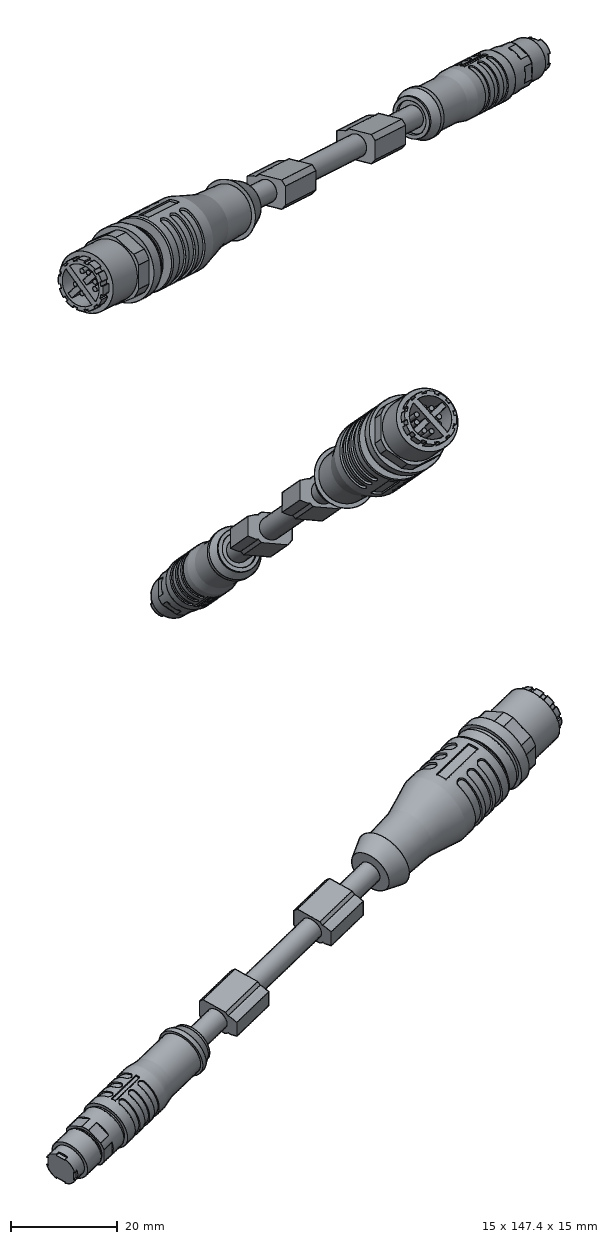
import cadquery as cq
import math

TOTAL_LENGTH = 147.4
HALF_LENGTH = TOTAL_LENGTH / 2
CUT_MARGIN = 1.5
CABLE_OVERLAP = 1.5

CABLE_DIA = 4.5
CLIP_STARTS = (48.2, 77.2)
CLIP_LENGTH = 9.9
CLIP_HALF_HEIGHT = 3.0
CLIP_SIDE_HALF_HEIGHT = 1.9
CLIP_LEFT = -4.5
CLIP_RIGHT = 4.3
CLIP_TOP_LEFT = -1.9
CLIP_TOP_RIGHT = 3.4
CLIP_STEP = 0.6

SMALL_END = 40.4
SMALL_END_BORE_DIA = 6.8
SMALL_END_BORE_DEPTH = 0.7
NOSE_DIA = 7.0
NOSE_LENGTH = 2.8
COLLAR_DIA = 8.4
COLLAR_END = 7.1
COLLAR_GROOVE_DIA = 8.0
NUT_START = 7.5
NUT_END = 10.0
SMALL_BODY_DIA = 9.5
SMALL_REAR_DIA = 9.3
SMALL_SLEEVE_DIA = 10.3
SLEEVE_GROOVE_DIA = 8.8
SLEEVE_GROOVE_START = 13.3
SLEEVE_START = 13.9
SLEEVE_TAPER_START = 26.0
SLEEVE_TAPER_END = 28.7
SMALL_RIM_START = 37.0
SMALL_RIM_END = 38.0
SMALL_TAPER_END = 40.0
SMALL_NUT_FLATS = 8.8
NOSE_KEY_WIDTH = 2.0
NOSE_KEY_LENGTH = 0.7
NOSE_KEY_DEPTH = 0.5

LARGE_START = 95.2
LARGE_DIA = 15.0
TAIL_DIA = 8.8
TAIL_LIP = 99.3
TAIL_LIP_DIA = 12.1
BOOT_DIA = 10.3
BOOT_BEND = 107.3
BOOT_BEND_DIA = 11.0
GRIP_START = 115.0
GRIP_END = 128.4
GRIP_CHAMFER = 0.5
GRIP_END_DIA = 14.7
NECK_DIA = 9.1
NECK_END = 129.4
RING_NOSE_DIA = 12.4
RING_SHOULDER = 131.0
RING_SHOULDER_DIA = 14.2
RING_GROOVE_DIA = 13.5
RING_START = 131.9
RING_END = 134.3
LARGE_NUT_DIA = 13.7
LARGE_NUT_FLATS = 12.8
LARGE_NUT_END = 137.7
SHELL_DIA = 12.2
SHELL_END = 145.5
TIP_DIA = 10.3
TIP_NOTCHES = 12
TIP_NOTCH_WIDTH = 0.9
TIP_NOTCH_DEPTH = 0.5

SLOTS_PER_SIDE = 3
LARGE_SLOT_FIRST = 118.8
LARGE_SLOT_PITCH = 3.1
LARGE_SLOT_WIDTH = 2.0
LARGE_SLOT_INNER_X = 2.7
LARGE_SLOT_DEPTH = 0.5
SMALL_SLOT_FIRST = 17.0
SMALL_SLOT_PITCH = 3.0
SMALL_SLOT_WIDTH = 1.5
SMALL_SLOT_INNER_X = 0.9
SMALL_SLOT_DEPTH = 0.3

LARGE_PANEL_WIDTH = 2.2
LARGE_PANEL_START = 117.0
LARGE_PANEL_END = 126.9
LARGE_PANEL_DEPTH = 0.5
SMALL_PANEL_WIDTH = 0.9
SMALL_PANEL_START = 16.2
SMALL_PANEL_END = 23.7
SMALL_PANEL_DEPTH = 0.3

SOCKET_DIA = 8.4
SOCKET_DEPTH = 8.8
SHIELD_THICKNESS = 1.2
SHIELD_SPAN = 8.8
SHIELD_SETBACKS = {45: 0.7, -45: 0.0}
PIN_DIA = 1.0
PIN_SETBACK = 1.5
PIN_HALF_SPACING = 0.7
PIN_RADIUS = 2.2


def y_at(station):
    return HALF_LENGTH - station


def bar_along_y(section, start, end):
    """Extrude a section builder's XZ outline between two stations."""
    plane = cq.Workplane("XZ", origin=(0, y_at(start), 0))
    return section(plane).extrude(end - start)


def cylinder(dia, start, end):
    return bar_along_y(lambda plane: plane.circle(dia / 2), start, end)


def revolve_profile(stations):
    """Revolve (station, diameter) pairs about the Y axis."""
    outline = [(dia / 2, y_at(station)) for station, dia in stations]
    outline.insert(0, (0, y_at(stations[0][0])))
    outline.append((0, y_at(stations[-1][0])))
    return cq.Workplane("XY").polyline(outline).close().revolve(360, (0, 0, 0), (0, 1, 0))


def hex_flats(dia, across_flats, start, end):
    """Material outside a hexagon whose flats face +X and -X."""
    corner_dia = across_flats / math.cos(math.pi / 6)
    blank = cylinder(dia + CUT_MARGIN, start, end)
    hexagon = bar_along_y(
        lambda plane: plane.transformed(rotate=(0, 0, 30)).polygon(6, corner_dia),
        start, end,
    )
    return blank.cut(hexagon)


def grip_slots(dia, depth, first, pitch, width, inner_x):
    """Round-ended slots that wrap round both sides of a cylinder."""
    last = first + (SLOTS_PER_SIDE - 1) * pitch
    skin = cylinder(dia + CUT_MARGIN, first - width, last + width).cut(
        cylinder(dia - 2 * depth, first - width, last + width)
    )
    slot_length = dia
    centers = [
        (side * (inner_x + slot_length / 2), y_at(first + i * pitch))
        for side in (-1, 1)
        for i in range(SLOTS_PER_SIDE)
    ]
    cutters = cq.Workplane("XY").pushPoints(centers).slot2D(slot_length, width).extrude(dia, both=True)
    return cutters.intersect(skin)


def grip_panels(dia, depth, width, start, end):
    """Flat-bottomed rectangular recesses on the upper and lower faces of a cylinder."""
    height = dia - 2 * depth
    blank = bar_along_y(lambda plane: plane.rect(width, 2 * dia), start, end)
    return blank.cut(bar_along_y(lambda plane: plane.rect(width, height), start, end))


def small_plug():
    body = revolve_profile([
        (0, NOSE_DIA),
        (NOSE_LENGTH, NOSE_DIA),
        (NOSE_LENGTH, COLLAR_DIA),
        (COLLAR_END, COLLAR_DIA),
        (COLLAR_END, COLLAR_GROOVE_DIA),
        (NUT_START, COLLAR_GROOVE_DIA),
        (NUT_START, SMALL_BODY_DIA),
        (SLEEVE_GROOVE_START, SMALL_BODY_DIA),
        (SLEEVE_GROOVE_START, SLEEVE_GROOVE_DIA),
        (SLEEVE_START, SLEEVE_GROOVE_DIA),
        (SLEEVE_START, SMALL_SLEEVE_DIA),
        (SLEEVE_TAPER_START, SMALL_SLEEVE_DIA),
        (SLEEVE_TAPER_END, SMALL_REAR_DIA),
        (SMALL_RIM_START, SMALL_REAR_DIA),
        (SMALL_RIM_START, SMALL_SLEEVE_DIA),
        (SMALL_RIM_END, SMALL_SLEEVE_DIA),
        (SMALL_TAPER_END, COLLAR_DIA),
        (SMALL_END, COLLAR_DIA),
    ])
    body = body.cut(cylinder(SMALL_END_BORE_DIA, SMALL_END - SMALL_END_BORE_DEPTH, SMALL_END))
    body = body.cut(hex_flats(SMALL_BODY_DIA, SMALL_NUT_FLATS, NUT_START, NUT_END))
    body = body.cut(grip_slots(
        SMALL_SLEEVE_DIA, SMALL_SLOT_DEPTH, SMALL_SLOT_FIRST,
        SMALL_SLOT_PITCH, SMALL_SLOT_WIDTH, SMALL_SLOT_INNER_X,
    ))
    body = body.cut(grip_panels(
        SMALL_SLEEVE_DIA, SMALL_PANEL_DEPTH, SMALL_PANEL_WIDTH, SMALL_PANEL_START, SMALL_PANEL_END,
    ))
    for quarter in range(4):
        key = cq.Workplane("XY").box(NOSE_KEY_WIDTH, 2 * NOSE_KEY_LENGTH, 2 * NOSE_KEY_DEPTH)
        key = key.translate((0, y_at(0), NOSE_DIA / 2))
        body = body.cut(key.rotate((0, 0, 0), (0, 1, 0), 90 * quarter))
    return body


def clip(start):
    """Marker clip: a flattened sleeve, chamfered right, stepped left."""
    upper = [
        (CLIP_LEFT, CLIP_SIDE_HALF_HEIGHT),
        (CLIP_TOP_LEFT - 2 * CLIP_STEP, CLIP_HALF_HEIGHT - CLIP_STEP),
        (CLIP_TOP_LEFT - CLIP_STEP, CLIP_HALF_HEIGHT - CLIP_STEP),
        (CLIP_TOP_LEFT, CLIP_HALF_HEIGHT),
        (CLIP_TOP_RIGHT, CLIP_HALF_HEIGHT),
        (CLIP_RIGHT, CLIP_SIDE_HALF_HEIGHT),
    ]
    lower = [(x, -z) for x, z in reversed(upper)]
    return bar_along_y(lambda plane: plane.polyline(upper + lower).close(), start, start + CLIP_LENGTH)


def large_plug():
    body = revolve_profile([
        (LARGE_START, TAIL_DIA),
        (TAIL_LIP, TAIL_LIP_DIA),
        (TAIL_LIP, BOOT_DIA),
        (BOOT_BEND, BOOT_BEND_DIA),
        (GRIP_START, LARGE_DIA),
        (GRIP_END - GRIP_CHAMFER, LARGE_DIA),
        (GRIP_END, GRIP_END_DIA),
        (GRIP_END, NECK_DIA),
        (NECK_END, NECK_DIA),
        (NECK_END, RING_NOSE_DIA),
        (RING_SHOULDER, RING_SHOULDER_DIA),
        (RING_SHOULDER, RING_GROOVE_DIA),
        (RING_START, RING_GROOVE_DIA),
        (RING_START, LARGE_DIA),
        (RING_END, LARGE_DIA),
        (RING_END, LARGE_NUT_DIA),
        (LARGE_NUT_END, LARGE_NUT_DIA),
        (LARGE_NUT_END, SHELL_DIA),
        (SHELL_END, SHELL_DIA),
        (SHELL_END, TIP_DIA),
        (TOTAL_LENGTH, TIP_DIA),
    ])
    body = body.cut(hex_flats(LARGE_NUT_DIA, LARGE_NUT_FLATS, RING_END, LARGE_NUT_END))
    body = body.cut(grip_slots(
        LARGE_DIA, LARGE_SLOT_DEPTH, LARGE_SLOT_FIRST,
        LARGE_SLOT_PITCH, LARGE_SLOT_WIDTH, LARGE_SLOT_INNER_X,
    ))
    body = body.cut(grip_panels(
        LARGE_DIA, LARGE_PANEL_DEPTH, LARGE_PANEL_WIDTH, LARGE_PANEL_START, LARGE_PANEL_END,
    ))
    tip_length = TOTAL_LENGTH - SHELL_END
    notch = cq.Workplane("XY").box(TIP_NOTCH_WIDTH, tip_length, 2 * TIP_NOTCH_DEPTH)
    notch = notch.translate((0, y_at(SHELL_END + tip_length / 2), TIP_DIA / 2))
    notch_angle = 360 / TIP_NOTCHES
    for i in range(TIP_NOTCHES):
        body = body.cut(notch.rotate((0, 0, 0), (0, 1, 0), (i + 0.5) * notch_angle))
    return body


def add_contacts(body):
    """Open the socket, leaving a diagonal shield cross and a pin pair per quarter."""
    floor = TOTAL_LENGTH - SOCKET_DEPTH
    body = body.cut(cylinder(SOCKET_DIA, floor, TOTAL_LENGTH))
    for angle, setback in SHIELD_SETBACKS.items():
        wall = bar_along_y(
            lambda plane: plane.rect(SHIELD_THICKNESS, SHIELD_SPAN),
            floor, TOTAL_LENGTH - setback,
        )
        body = body.union(wall.rotate((0, 0, 0), (0, 1, 0), angle))
    pins = bar_along_y(
        lambda plane: plane.pushPoints([(-PIN_HALF_SPACING, PIN_RADIUS), (PIN_HALF_SPACING, PIN_RADIUS)])
        .circle(PIN_DIA / 2),
        floor, TOTAL_LENGTH - PIN_SETBACK,
    )
    for quarter in range(4):
        body = body.union(pins.rotate((0, 0, 0), (0, 1, 0), 90 * quarter))
    return body


result = cylinder(CABLE_DIA, SMALL_END - CABLE_OVERLAP, LARGE_START + CABLE_OVERLAP)
result = result.union(small_plug())
for clip_start in CLIP_STARTS:
    result = result.union(clip(clip_start))
result = add_contacts(result.union(large_plug()))